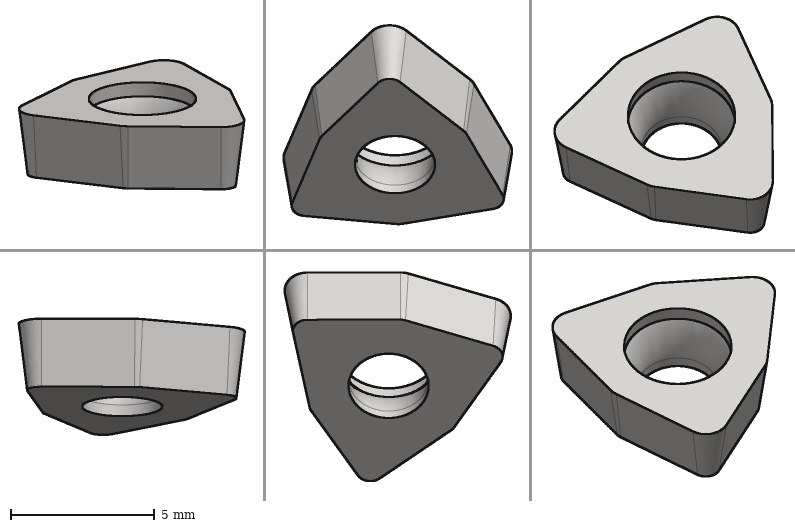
import cadquery as cq
import math

thickness = 2.38
inscribed_radius = 3.175
corner_count = 3
corner_angle = 80
corner_radius = 0.8
clearance_angle = 7
first_corner_direction = 220

bore_radius = 1.4
seat_radius = 1.87
seat_depth = 0.51
bore_top_depth = 1.975


def polar_point(radius, degrees):
    angle = math.radians(degrees)
    return (radius * math.cos(angle), radius * math.sin(angle))


def trigon_outline(side_distance, edge_radius):
    """Rounded trigon whose six sides all lie side_distance from the axis."""
    half_pitch = 180 / corner_count
    half_corner = corner_angle / 2
    nose_to_side_normal = 90 - half_corner
    blunt_to_side_normal = half_pitch - nose_to_side_normal
    nose_distance = side_distance / math.cos(math.radians(nose_to_side_normal))
    blunt_distance = side_distance / math.cos(math.radians(blunt_to_side_normal))
    points = []
    for index in range(corner_count):
        direction = first_corner_direction + 2 * half_pitch * index
        points.append(polar_point(nose_distance, direction))
        points.append(polar_point(blunt_distance, direction + half_pitch))
    return cq.Sketch().polygon(points + points[:1]).vertices().fillet(edge_radius)


def insert_body():
    inset = thickness * math.tan(math.radians(clearance_angle))
    bottom = trigon_outline(inscribed_radius - inset, corner_radius - inset)
    top = trigon_outline(inscribed_radius, corner_radius)
    raised_top = top.moved(cq.Location((0, 0, thickness)))
    return cq.Workplane("XY").placeSketch(bottom, raised_top).loft(ruled=True)


def screw_hole():
    """Revolved cutter: straight wall, convex seat tangent to the bore, then the bore."""
    seat_z = thickness - seat_depth
    bore_top_z = thickness - bore_top_depth
    return (
        cq.Workplane("XZ")
        .moveTo(0, 0)
        .lineTo(bore_radius, 0)
        .lineTo(bore_radius, bore_top_z)
        .tangentArcPoint((seat_radius, seat_z), relative=False)
        .lineTo(seat_radius, thickness)
        .lineTo(0, thickness)
        .close()
        .revolve(360, (0, 0), (0, 1))
    )


result = insert_body().cut(screw_hole())